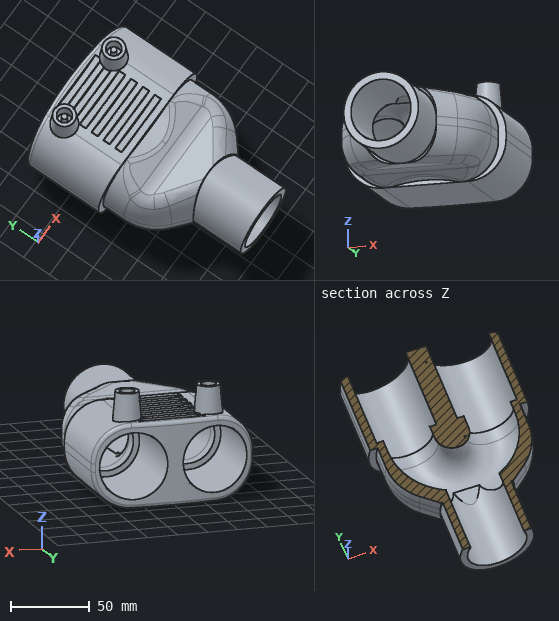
import cadquery as cq
import math

length = 151.0
socket_width = 108.0
body_height = 56.2
total_height = 74.0
corner_radius = 25.4
branch_x = 27.2
half_height = body_height / 2

socket_front_y = 89.5
socket_end_bulge = 5.7
socket_end_rounding = 2.7
socket_bore_dia = 44.0
socket_stop_y = 93.6

pipe_dia = 50.0
pipe_bore_dia = 40.0
pipe_bore_taper_y = 46.8

neck_half_width = 48.9
neck_bend_y = 73.8
neck_bend_radius = 36.5
neck_bend_angle = 50.0
neck_end_radius = 57.4
neck_overlap = 6.0
valley_depth = 3.0
saddle_y = 67.5
saddle_z = 22.2
saddle_front_y = 42.4
saddle_back_y = 87.5
saddle_radius = 22.6
saddle_edge_rounding = 10.5

passage_dia = 36.0
passage_bend_y = 84.5

slot_count = 6
slot_first_y = 97.0
slot_pitch = 9.2
slot_width = 4.8
slot_length = 43.5

terminal_y = 135.1
terminal_top_dia = 15.1
terminal_base_dia = 18.1
terminal_root = 3.8
terminal_bore_dia = 10.0
terminal_bore_depth = 12.1
terminal_pin_dia = 4.0
terminal_pin_drop = 2.3

valley_half_width = neck_half_width - corner_radius
valley_radius = (valley_half_width**2 + valley_depth**2) / (2 * valley_depth)


def cylinder_along_y(diameter, y_start, y_end, x=0.0, z=0.0):
    plane = cq.Plane(origin=(x, y_start, z), xDir=(1, 0, 0), normal=(0, 1, 0))
    return cq.Workplane(plane).circle(diameter / 2).extrude(y_end - y_start)


def valley_cutter(y_start, y_end):
    """Round bar along Y whose underside is the shallow hollow in the top."""
    axis_z = half_height - valley_depth + valley_radius
    return cylinder_along_y(2 * valley_radius, y_start, y_end, z=axis_z)


def make_socket():
    """Bar with well-rounded long edges, a flat front and a gently curved back end."""
    half_width = socket_width / 2
    side_y = length - socket_end_bulge
    outline = (
        cq.Workplane("XY", origin=(0, 0, -half_height))
        .moveTo(-half_width, socket_front_y)
        .lineTo(half_width, socket_front_y)
        .lineTo(half_width, side_y)
        .threePointArc((0, length), (-half_width, side_y))
        .close()
        .extrude(body_height)
    )
    rounded_bar = (
        cq.Workplane(cq.Plane(origin=(0, 0, 0), xDir=(1, 0, 0), normal=(0, 1, 0)))
        .rect(socket_width, body_height)
        .extrude(length)
        .edges("|Y")
        .fillet(corner_radius)
    )
    return outline.intersect(rounded_bar).faces(">Y").edges().fillet(socket_end_rounding)


def saddle_cutter():
    """Wedge above the two flats, rounded where they meet."""
    front_rise = pipe_dia / 2 - saddle_z
    front_slope = front_rise / (saddle_y - saddle_front_y)
    back_slope = (half_height - saddle_z) / (saddle_back_y - saddle_y)
    reach = 2 * saddle_y
    wedge = (
        cq.Workplane("YZ", origin=(-socket_width, 0, 0))
        .moveTo(saddle_y, saddle_z)
        .lineTo(saddle_y + reach, saddle_z + back_slope * reach)
        .lineTo(saddle_y - reach, saddle_z + back_slope * reach)
        .lineTo(saddle_y - reach, saddle_z + front_slope * reach)
        .close()
        .extrude(2 * socket_width)
    )
    return wedge.edges("<Z").fillet(saddle_radius)


def make_neck():
    """Neck shaped as one quarter (x < 0, z > 0), mirrored twice and trimmed at the pipe."""
    bend_center_x = neck_bend_radius - neck_half_width
    back_y = socket_front_y + neck_overlap

    def bend_point(degrees):
        angle = math.radians(degrees)
        return (
            bend_center_x - neck_bend_radius * math.cos(angle),
            neck_bend_y - neck_bend_radius * math.sin(angle),
        )

    bend_end = bend_point(neck_bend_angle)
    front_slope = 1 / math.tan(math.radians(neck_bend_angle))
    front_y = bend_end[1] - front_slope * (neck_overlap - bend_end[0])
    quarter = (
        cq.Workplane("XY")
        .moveTo(neck_overlap, back_y)
        .lineTo(-neck_half_width, back_y)
        .lineTo(-neck_half_width, neck_bend_y)
        .threePointArc(bend_point(neck_bend_angle / 2), bend_end)
        .lineTo(neck_overlap, front_y)
        .close()
        .extrude(half_height)
        .faces(">Z")
        .edges("not(>X or >Y)")
        .fillet(corner_radius)
    )
    quarter = quarter.cut(valley_cutter(saddle_y, length)).cut(saddle_cutter())

    rim_box = cq.selectors.BoxSelector(
        (-neck_half_width, 0, saddle_z),
        (neck_overlap / 2, saddle_back_y, half_height),
    )
    quarter = quarter.edges(rim_box).edges("not %LINE").fillet(saddle_edge_rounding)
    quarter = quarter.intersect(
        cq.Workplane("XY", origin=(-neck_half_width, 0, 0))
        .box(neck_half_width, length, half_height, centered=False)
    )
    half = quarter.union(quarter.mirror("YZ"))
    end_cutter = (
        cq.Workplane("XY", origin=(0, saddle_front_y - neck_end_radius, -half_height))
        .circle(neck_end_radius)
        .extrude(body_height)
    )
    return half.union(half.mirror("XY")).cut(end_cutter)


def make_passage():
    """Round U-shaped passage that links the two socket bores."""
    path = (
        cq.Workplane("XY")
        .moveTo(-branch_x, socket_stop_y)
        .lineTo(-branch_x, passage_bend_y)
        .threePointArc((0, passage_bend_y - branch_x), (branch_x, passage_bend_y))
        .lineTo(branch_x, socket_stop_y)
    )
    section_plane = cq.Plane(
        origin=(-branch_x, socket_stop_y, 0), xDir=(1, 0, 0), normal=(0, -1, 0)
    )
    return cq.Workplane(section_plane).circle(passage_dia / 2).sweep(path)


def make_pipe_bore():
    """Pipe bore whose roof and floor slope in to the height of the passages."""
    bore_radius = pipe_bore_dia / 2
    passage_radius = passage_dia / 2
    passage_middle_y = passage_bend_y - branch_x
    side_profile = (
        cq.Workplane("YZ", origin=(-bore_radius, 0, 0))
        .moveTo(0, -bore_radius)
        .lineTo(pipe_bore_taper_y, -bore_radius)
        .lineTo(passage_middle_y, -passage_radius)
        .lineTo(passage_middle_y, passage_radius)
        .lineTo(pipe_bore_taper_y, bore_radius)
        .lineTo(0, bore_radius)
        .close()
        .extrude(pipe_bore_dia)
    )
    return cylinder_along_y(pipe_bore_dia, 0, passage_middle_y).intersect(side_profile)


def make_slots():
    """Crescent-shaped recesses whose floors follow the hollow of the neck."""
    slots = cq.Workplane("XY")
    for index in range(slot_count):
        slot_y = slot_first_y + index * slot_pitch
        window = cq.Workplane("XY", origin=(0, slot_y, 0)).box(slot_length, slot_width, body_height)
        bar = valley_cutter(slot_y - slot_width / 2, slot_y + slot_width / 2)
        slots = slots.add(bar.intersect(window))
    return slots.combine()


def make_terminal(side):
    """Tapered post with a blind bore around a contact pin, and its root in the socket."""
    top_z = total_height - half_height
    height = top_z - half_height
    taper = (terminal_base_dia - terminal_top_dia) / 2 / height
    root_z = half_height - terminal_root
    root_radius = terminal_base_dia / 2 + taper * terminal_root
    post = (
        cq.Workplane("XZ")
        .moveTo(0, root_z)
        .lineTo(root_radius, root_z)
        .lineTo(terminal_top_dia / 2, top_z)
        .lineTo(0, top_z)
        .close()
        .revolve(360, (0, 0), (0, 1))
    )
    floor_z = top_z - terminal_bore_depth
    ring = (
        cq.Workplane("XY", origin=(0, 0, floor_z))
        .circle(terminal_bore_dia / 2)
        .extrude(terminal_bore_depth)
    )
    pin = (
        cq.Workplane("XY", origin=(0, 0, floor_z))
        .circle(terminal_pin_dia / 2)
        .extrude(terminal_bore_depth - terminal_pin_drop)
    )
    return post.cut(ring).union(pin).translate((side * branch_x, terminal_y, 0))


body = make_socket().union(make_neck())
body = body.union(cylinder_along_y(pipe_dia, 0, saddle_front_y))
body = body.cut(make_slots())
for side in (-1, 1):
    body = body.union(make_terminal(side))
    body = body.cut(cylinder_along_y(socket_bore_dia, socket_stop_y, length, x=side * branch_x))
body = body.cut(make_passage())
result = body.cut(make_pipe_bore())